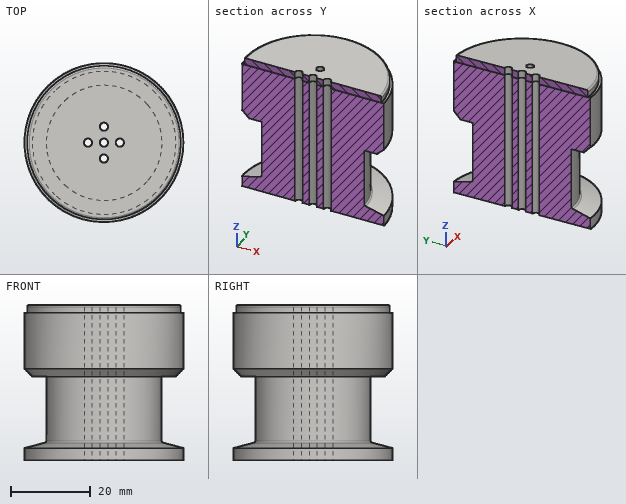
import cadquery as cq
import math

outer_diameter = 40.0
total_height = 39.0

flange_rim_height = 3.1
flange_cone_angle = 15.0
neck_diameter = 29.0
neck_fillet = 0.5
head_bottom = 21.0
head_chamfer = 2.0

cap_diameter = 38.6
cap_height = 2.0
cap_fillet = 0.5
head_top = total_height - cap_height

vent_diameter = 2.0
vent_spacing = 4.0
vent_positions = [
    (0, 0),
    (vent_spacing, 0),
    (-vent_spacing, 0),
    (0, vent_spacing),
    (0, -vent_spacing),
]


def vent_holes():
    """Cutting cylinders for the vents, spanning the whole height."""
    return cq.Workplane("XY").pushPoints(vent_positions).circle(vent_diameter / 2).extrude(total_height)


def make_housing():
    """Revolved flange, neck and head, pierced by the vents."""
    outer_radius = outer_diameter / 2
    neck_radius = neck_diameter / 2
    cone_rise = (outer_radius - neck_radius) * math.tan(math.radians(flange_cone_angle))
    cone_top = flange_rim_height + cone_rise
    profile = (
        cq.Workplane("XZ")
        .lineTo(outer_radius, 0)
        .lineTo(outer_radius, flange_rim_height)
        .lineTo(neck_radius, cone_top)
        .lineTo(neck_radius, head_bottom)
        .lineTo(outer_radius - head_chamfer, head_bottom)
        .lineTo(outer_radius, head_bottom + head_chamfer)
        .lineTo(outer_radius, head_top)
        .lineTo(0, head_top)
        .close()
    )
    body = profile.revolve(360, (0, 0, 0), (0, 1, 0))
    neck_foot = cq.selectors.NearestToPointSelector((0, 0, cone_top))
    body = body.edges("%CIRCLE").edges(neck_foot).fillet(neck_fillet)
    return body.cut(vent_holes())


def make_cap():
    """Disc with a rounded top edge, pierced by the vents."""
    disc = cq.Workplane("XY").workplane(offset=head_top).circle(cap_diameter / 2).extrude(cap_height)
    return disc.faces(">Z").edges("%CIRCLE").fillet(cap_fillet).cut(vent_holes())


housing = make_housing()
cap = make_cap()
result = cq.Compound.makeCompound([housing.val(), cap.val()])